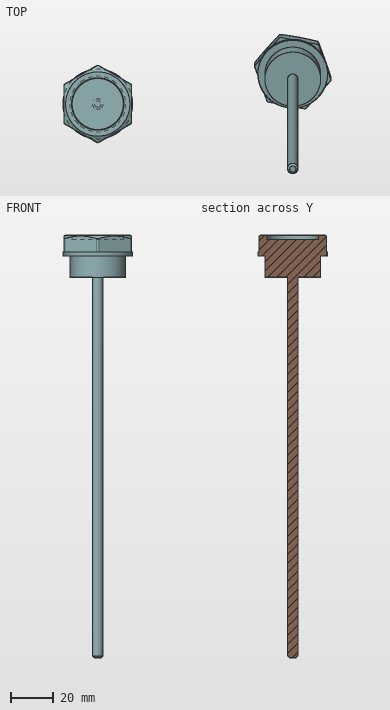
import cadquery as cq
import math

total_length = 200.0

across_flats = 32.0
corner_radius = 1.0
head_height = 8.0
top_face_diameter = 30.5
corner_chamfer_height = 1.8

recess_diameter = 24.2
recess_depth = 2.0
recess_rim_chamfer = 0.3

flange_diameter = 33.0
flange_height = 2.0
collar_diameter = 26.5
collar_height = 10.0

rod_diameter = 5.0
tip_chamfer = 1.0

across_corners = across_flats / math.cos(math.pi / 6)

head_bottom = total_length - head_height
flange_bottom = head_bottom - flange_height
collar_bottom = flange_bottom - collar_height


def cylinder(diameter, bottom, height):
    return cq.Workplane("XY").workplane(offset=bottom).circle(diameter / 2).extrude(height)


def make_head():
    hexagon = (
        cq.Workplane("XY")
        .workplane(offset=head_bottom)
        .polygon(6, across_corners)
        .extrude(head_height)
        .edges("|Z")
        .fillet(corner_radius)
        .rotate((0, 0, 0), (0, 0, 1), 30)
    )
    blank = cylinder(across_corners, head_bottom, head_height)
    chamfer_width = (across_corners - top_face_diameter) / 2
    blank = blank.faces(">Z").edges().chamfer(corner_chamfer_height, chamfer_width)
    recess = cylinder(recess_diameter, total_length - recess_depth, recess_depth)
    head = hexagon.intersect(blank).cut(recess)
    rim = cq.selectors.RadiusNthSelector(0)
    return head.faces(">Z").edges("%CIRCLE").edges(rim).chamfer(recess_rim_chamfer)


def make_rod():
    rod = cylinder(rod_diameter, 0, collar_bottom)
    return rod.faces("<Z").edges().chamfer(tip_chamfer)


flange = cylinder(flange_diameter, flange_bottom, flange_height)
collar = cylinder(collar_diameter, collar_bottom, collar_height)
result = make_head().union(flange).union(collar).union(make_rod())